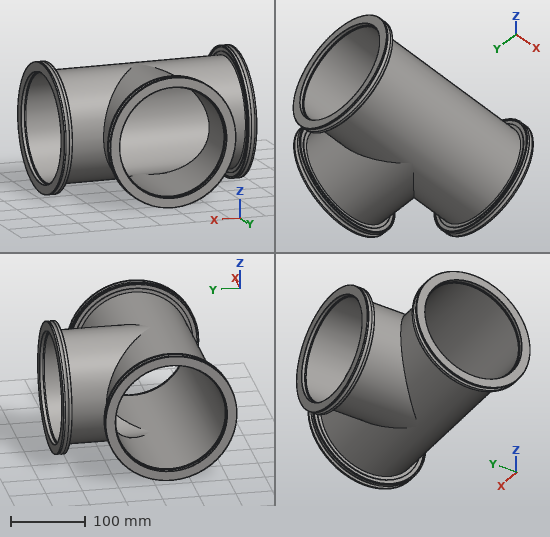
import cadquery as cq

run_length = 276.0
branch_reach = run_length / 2

tube_radius = 77.0
tube_wall = 2.0
bore_radius = tube_radius - tube_wall

flange_radius = 90.0
flange_thickness = 12.0
edge_chamfer = 0.41

counterbore_radius = 76.5
counterbore_depth = 4.7
lip_thickness = 1.7
tube_setback = counterbore_depth + lip_thickness

rim_groove_start = 2.62
rim_groove_radius = 2.5

back_groove_inner_radius = 82.0
back_groove_outer_radius = 87.5
back_groove_depth = 1.5


def cylinder(radius, start, length, direction):
    """Solid cylinder along a direction, starting at a distance from the tee centre."""
    axis = cq.Vector(*direction)
    return cq.Workplane(cq.Solid.makeCylinder(radius, length, axis * start, axis))


def make_tee():
    """Run tube along X with an equal branch tube toward +Y, open at all three ends."""
    tube_end = run_length / 2 - tube_setback
    branch_end = branch_reach - tube_setback

    def tee_shape(radius):
        run = cylinder(radius, -tube_end, 2 * tube_end, (1, 0, 0))
        return run.union(cylinder(radius, 0, branch_end, (0, 1, 0)))

    return tee_shape(tube_radius).cut(tee_shape(bore_radius))


def make_flange():
    """Flange ring around Y with its sealing face at Y = 0 and its back toward -Y."""
    rim_groove_middle = rim_groove_start + rim_groove_radius
    rim_groove_end = rim_groove_start + 2 * rim_groove_radius
    back_groove_floor = flange_thickness - back_groove_depth
    profile = (
        cq.Workplane("XY")
        .moveTo(counterbore_radius, -edge_chamfer)
        .lineTo(counterbore_radius + edge_chamfer, 0)
        .lineTo(flange_radius - edge_chamfer, 0)
        .lineTo(flange_radius, -edge_chamfer)
        .lineTo(flange_radius, -rim_groove_start)
        .threePointArc(
            (flange_radius - rim_groove_radius, -rim_groove_middle),
            (flange_radius, -rim_groove_end),
        )
        .lineTo(flange_radius, edge_chamfer - flange_thickness)
        .lineTo(flange_radius - edge_chamfer, -flange_thickness)
        .lineTo(back_groove_outer_radius + edge_chamfer, -flange_thickness)
        .lineTo(back_groove_outer_radius, edge_chamfer - flange_thickness)
        .lineTo(back_groove_outer_radius, -back_groove_floor)
        .lineTo(back_groove_inner_radius, -back_groove_floor)
        .lineTo(back_groove_inner_radius, -flange_thickness)
        .lineTo(tube_radius, -flange_thickness)
        .lineTo(tube_radius, -tube_setback)
        .lineTo(bore_radius, -tube_setback)
        .lineTo(bore_radius, -counterbore_depth)
        .lineTo(counterbore_radius, -counterbore_depth)
        .close()
    )
    return profile.revolve(360, (0, 0, 0), (0, 1, 0))


tee = make_tee()

flanges = []
for turn in (0, 90, -90):
    flange = make_flange().translate((0, branch_reach, 0))
    flanges.append(flange.rotate((0, 0, 0), (0, 0, 1), turn))

result = cq.Compound.makeCompound([tee.val(), *[flange.val() for flange in flanges]])